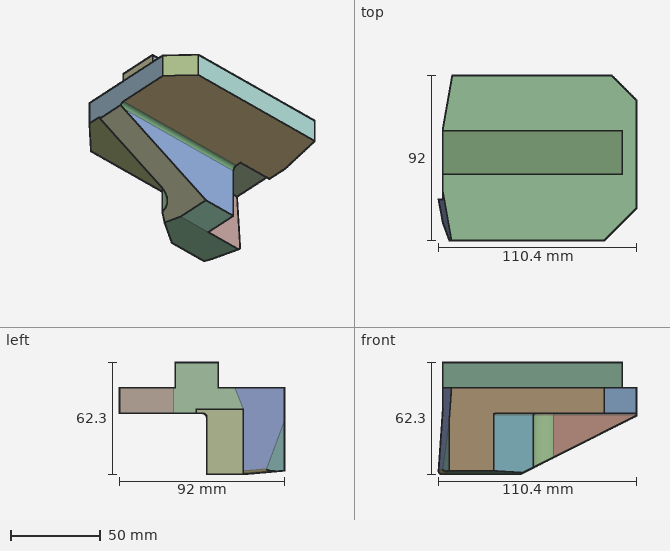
import cadquery as cq
import math


plate_right = 108.0
plate_back = 43.0
plate_front = -49.0
plate_thickness = 14.3
back_chamfer = 14.0
front_chamfer = 18.0
back_taper_start = 13.0
side_taper = math.tan(math.radians(10))

rib_length = 100.0
rib_width = 24.0
rib_height = 14.0

leg_bottom = -48.3
leg_inner = -5.5
leg_front_right = 28.3
step_x = 50.5
step_y = -33.2
step_radius = 10.9
web_front = step_y + step_radius
outer_root_radius = 0.8
inner_root_radius = 2.5
slope_start = 43.0
slope_end_z = -15.6

pocket_top = -12.0
pocket_front = -26.0
pocket_back = 0.3
pocket_depth = 22.0

nose_overhang = 10.0
end_relief_start_y = -25.85
nose_draft = math.tan(math.radians(4))
bottom_relief = math.tan(math.radians(5))
nose_edge_radius = 2.0
corner_start_y = -38.85
corner_taper = math.tan(math.radians(20))

cutter_size = 300.0


def beyond_plane(point, normal):
    """Large block filling the side of a plane that its normal points to."""
    plane = cq.Plane(origin=point, normal=normal)
    return cq.Workplane(plane).rect(cutter_size, cutter_size).extrude(cutter_size)


def make_plate():
    taper_x = (plate_back - back_taper_start) * side_taper
    outline = [
        (0, plate_front),
        (plate_right - front_chamfer, plate_front),
        (plate_right, plate_front + front_chamfer),
        (plate_right, plate_back - back_chamfer),
        (plate_right - back_chamfer, plate_back),
        (taper_x, plate_back),
        (0, back_taper_start),
    ]
    return cq.Workplane("XY").polyline(outline).close().extrude(-plate_thickness)


def make_rib():
    rib = cq.Workplane("XY").rect(rib_length, rib_width).extrude(rib_height)
    return rib.translate((rib_length / 2, 0, 0))


def make_leg():
    """Leg with an angled front corner that steps back through a quarter round to a web."""
    arc_offset = step_radius * (1 - math.sqrt(0.5))
    arc_middle = (step_x + arc_offset, web_front - arc_offset)
    return (
        cq.Workplane("XY")
        .workplane(offset=leg_bottom)
        .moveTo(pocket_depth, plate_front)
        .lineTo(leg_front_right, plate_front)
        .lineTo(step_x, step_y)
        .threePointArc(arc_middle, (step_x + step_radius, web_front))
        .lineTo(plate_right, web_front)
        .lineTo(plate_right, leg_inner)
        .lineTo(pocket_depth, leg_inner)
        .close()
        .extrude(-plate_thickness - leg_bottom)
    )


def round_leg_root(body):
    """Fillet the inside corners between the leg and the underside of the plate."""
    reach = 0.1
    root_edges = cq.selectors.BoxSelector(
        (leg_front_right, plate_front + reach, -plate_thickness - reach),
        (plate_right - front_chamfer, web_front + reach, -plate_thickness + reach),
    )
    body = body.edges(root_edges).fillet(outer_root_radius)
    inner_edge = cq.selectors.NearestToPointSelector((plate_right / 2, leg_inner, -plate_thickness))
    return body.edges(inner_edge).fillet(inner_root_radius)


def cut_slope(body):
    run = plate_right - slope_start
    rise = slope_end_z - leg_bottom
    return body.cut(beyond_plane((slope_start, 0, leg_bottom), (rise, 0, -run)))


def cut_pocket_roof(body):
    """Carry the open space to the left of the leg up into the underside of the plate."""
    roof = cq.Workplane("XY").box(
        pocket_depth, pocket_back - pocket_front, plate_thickness + pocket_top, centered=False
    )
    return body.cut(roof.translate((0, pocket_front, -plate_thickness)))


def make_nose():
    """Front left end of the leg, overhanging the plate, with relieved end and bottom faces."""
    nose = cq.Workplane("XY").box(
        nose_overhang + pocket_depth, pocket_front - plate_front, pocket_top - leg_bottom, centered=False
    )
    nose = nose.translate((-nose_overhang, plate_front, leg_bottom))
    nose = cut_bottom_relief(cut_end_relief(nose))
    return nose.faces("<Z").edges("<X").fillet(nose_edge_radius)


def cut_end_relief(body):
    return body.cut(beyond_plane((0, end_relief_start_y, pocket_top), (-1, -side_taper, nose_draft)))


def cut_bottom_relief(body):
    return body.cut(beyond_plane((0, pocket_front, leg_bottom), (0, -bottom_relief, -1)))


def cut_corner(body):
    return body.cut(beyond_plane((0, corner_start_y, 0), (-1, -corner_taper, 0)))


body = round_leg_root(make_plate().union(make_leg()))
body = cut_pocket_roof(cut_slope(body))
body = cut_bottom_relief(cut_end_relief(body))
body = cut_corner(body.union(make_nose()))
result = body.union(make_rib())